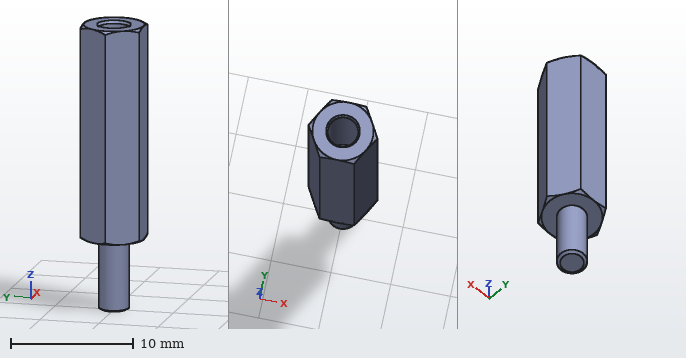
import cadquery as cq
import math

across_flats = 5.005
across_corners = across_flats / math.cos(math.radians(30))
body_length = 18.0
end_face_diameter = 5.0
corner_chamfer_angle = 30.0

stud_diameter = 2.5
stud_length = 6.0
stud_tip_diameter = 1.94
stud_chamfer_angle = 30.0

hole_diameter = 2.5
hole_depth = 8.0
drill_point_angle = 118.0
hole_mouth_diameter = 2.78
hole_mouth_angle = 60.0


def make_body():
    """Hexagonal prism with its corners turned conical at both ends."""
    prism = cq.Workplane("XY").polygon(6, across_corners).extrude(body_length)
    end_radius = end_face_diameter / 2
    corner_radius = across_corners / 2
    chamfer_height = (corner_radius - end_radius) * math.tan(math.radians(corner_chamfer_angle))
    turned_envelope = (
        cq.Workplane("XZ")
        .moveTo(0, 0)
        .lineTo(end_radius, 0)
        .lineTo(corner_radius, chamfer_height)
        .lineTo(corner_radius, body_length - chamfer_height)
        .lineTo(end_radius, body_length)
        .lineTo(0, body_length)
        .close()
        .revolve()
    )
    return prism.intersect(turned_envelope)


def make_stud():
    """Round stud hanging from the body, chamfered at its free end."""
    stud = cq.Workplane("XY").circle(stud_diameter / 2).extrude(-stud_length)
    chamfer_width = (stud_diameter - stud_tip_diameter) / 2
    chamfer_height = chamfer_width * math.tan(math.radians(stud_chamfer_angle))
    return stud.faces("<Z").chamfer(chamfer_height, chamfer_width)


def make_hole():
    """Tool for the blind hole: countersunk mouth, bore and conical drill point."""
    bore_radius = hole_diameter / 2
    mouth_radius = hole_mouth_diameter / 2
    mouth_depth = (mouth_radius - bore_radius) / math.tan(math.radians(hole_mouth_angle / 2))
    point_depth = bore_radius / math.tan(math.radians(drill_point_angle / 2))
    bore_bottom = body_length - hole_depth
    return (
        cq.Workplane("XZ")
        .moveTo(0, body_length)
        .lineTo(mouth_radius, body_length)
        .lineTo(bore_radius, body_length - mouth_depth)
        .lineTo(bore_radius, bore_bottom)
        .lineTo(0, bore_bottom - point_depth)
        .close()
        .revolve()
    )


result = make_body().union(make_stud()).cut(make_hole())